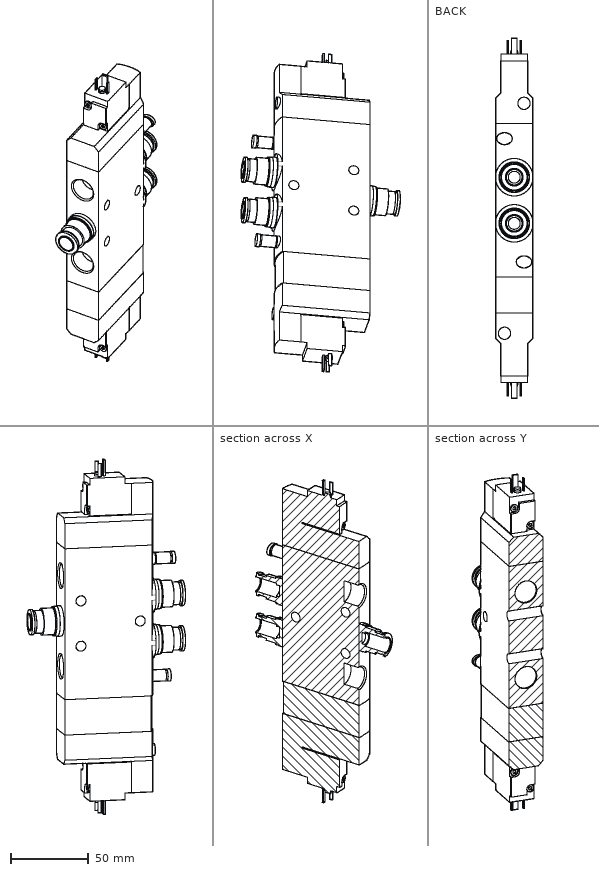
import cadquery as cq
import math


WIDTH = 24.0
DEPTH = 60.8
CROWN_RADIUS = 27.0
BODY_HALF_LENGTH = 81.5
SPACER_BOTTOM_Z = -61.5
SPACER_TOP_Z = -38.1
VALVE_TOP_Z = -SPACER_BOTTOM_Z
SPACER_STEP = 0.7
SHOULDER_CHAMFER = 3.3
NECK_WIDTH = WIDTH - 2 * SHOULDER_CHAMFER

PORT_Z = (VALVE_TOP_Z + SPACER_TOP_Z) / 2
PORT_PITCH = 30.0
PORT_DIAMETER = 15.0
PORT_MOUTH_DIAMETER = 16.8
PORT_DEPTH = 11.7
BOSS_DIAMETER = 24.3
MOUNTING_HOLE_DIAMETER = 6.5
FRONT_HOLE_Y = 10.8
REAR_HOLE_Y = 50.3

NECK_END_Z = 102.3
NECK_FRONT_Y = 45.2
COIL_END_Z = 106.7
COIL_BASE_Z = 82.0
COIL_FRONT_Y = 17.5
SEAM_STEP = 0.12
COIL_WIDTH = NECK_WIDTH - 2 * SEAM_STEP
COIL_STEP_Y = 41.0
COVER_THICKNESS = 2.0
COVER_EDGE_CHAMFER = 0.5
SCREW_DIAMETER = 5.0
SCREW_HEIGHT = 1.0
SCREW_SOCKET_DIAMETER = 2.0
SCREW_X = 5.5
SCREW_FROM_COVER_END = 3.5
SCREW_CLEARANCE_RADIUS = 3.0
OVERRIDE_Z = 74.6

CONTACT_Y = 25.0
CONTACT_X = 4.2
CONTACT_SIZE = (0.7, 2.0)
CONTACT_END_Z = 115.4
BLADE_Y = 28.8
BLADE_SIZE = (3.7, 1.2)
BLADE_END_Z = 117.0
COLLAR_DIAMETER = 5.0
COLLAR_TOP_DIAMETER = 4.2
COLLAR_STEP_HEIGHT = 1.2

DEPTH_WITH_FITTINGS = 103.2
FITTING_LENGTH = (DEPTH_WITH_FITTINGS - DEPTH) / 2
FITTING_STEPS = [
    (20.0, 2.5),
    (19.5, 4.7),
    (19.0, 5.4),
    (17.5, 12.9),
    (15.0, 17.5),
    (14.3, 19.0),
    (16.5, 20.5),
    (11.5, FITTING_LENGTH),
]
FITTING_BORE_DIAMETER = 10.0
FITTING_BORE_DEPTH = 16.4
FITTING_STOP_DIAMETER = 7.7
FITTING_STOP_DEPTH = 18.7

PILOT_DIAMETER = 8.0
PILOT_TUBE_DIAMETER = 7.7
PILOT_BASE_HEIGHT = 0.7
PILOT_HEAD_HEIGHT = 1.0
PILOT_LENGTH = 13.3
PILOT_X = 6.3
PILOT_PITCH = 40.0
RELEASE_RING_WIDTH = 10.0
RELEASE_RING_THICKNESS = 2.0


def box(x_range, y_range, z_range):
    """Box between the given limits along each axis."""
    size = [high - low for low, high in (x_range, y_range, z_range)]
    corner = (x_range[0], y_range[0], z_range[0])
    return cq.Workplane("XY").box(*size, centered=False).translate(corner)


def y_cylinder(diameter, x, z, y_start, y_end):
    """Round bar along Y."""
    face = cq.Workplane("XZ", origin=(x, y_start, z))
    return face.circle(diameter / 2).extrude(y_start - y_end)


def crowned_block(width, front_y, crest_y, z_start, z_end):
    """Block whose rear side is a shallow arc with its crest at crest_y."""
    half = width / 2
    corner_y = crest_y - CROWN_RADIUS + math.sqrt(CROWN_RADIUS**2 - half**2)
    return (
        cq.Workplane("XY", origin=(0, 0, z_start))
        .moveTo(-half, front_y)
        .lineTo(half, front_y)
        .lineTo(half, corner_y)
        .threePointArc((0, crest_y), (-half, corner_y))
        .close()
        .extrude(z_end - z_start)
    )


def make_valve_section():
    section = crowned_block(WIDTH, 0, DEPTH, SPACER_TOP_Z, VALVE_TOP_Z)
    outline = box((-WIDTH / 2, WIDTH / 2), (0, DEPTH), (SPACER_TOP_Z, VALVE_TOP_Z))
    for side in (-1, 1):
        rear_port_z = PORT_Z + side * PORT_PITCH / 2
        boss = y_cylinder(BOSS_DIAMETER, 0, rear_port_z, DEPTH / 2, DEPTH)
        section = section.union(boss.intersect(outline))
        seat = y_cylinder(PILOT_DIAMETER, side * PILOT_X, PORT_Z + side * PILOT_PITCH, DEPTH / 2, DEPTH)
        section = section.union(seat)
        section = section.cut(make_port(PORT_Z + side * PORT_PITCH))

    hole_places = [
        (FRONT_HOLE_Y, PORT_Z - PORT_PITCH / 2),
        (FRONT_HOLE_Y, PORT_Z + PORT_PITCH / 2),
        (REAR_HOLE_Y, PORT_Z),
    ]
    holes = (
        cq.Workplane("YZ", origin=(-WIDTH / 2, 0, 0))
        .pushPoints(hole_places)
        .circle(MOUNTING_HOLE_DIAMETER / 2)
        .extrude(WIDTH)
    )
    return section.cut(holes)


def make_port(z):
    """Blind port with a countersunk mouth, as a solid to cut away."""
    mouth_depth = (PORT_MOUTH_DIAMETER - PORT_DIAMETER) / 2
    return (
        cq.Workplane("XY")
        .lineTo(PORT_MOUTH_DIAMETER / 2, 0)
        .lineTo(PORT_DIAMETER / 2, mouth_depth)
        .lineTo(PORT_DIAMETER / 2, PORT_DEPTH)
        .lineTo(0, PORT_DEPTH)
        .close()
        .revolve(360, (0, 0, 0), (0, 1, 0))
        .translate((0, 0, z))
    )


def make_spacer():
    return crowned_block(WIDTH, 0, DEPTH - SPACER_STEP, SPACER_BOTTOM_Z, SPACER_TOP_Z)


def make_shoulder():
    cap = crowned_block(WIDTH, 0, DEPTH, VALVE_TOP_Z, BODY_HALF_LENGTH)
    shoulder_z = BODY_HALF_LENGTH - SHOULDER_CHAMFER
    envelope = (
        cq.Workplane("XZ")
        .moveTo(-WIDTH / 2, VALVE_TOP_Z)
        .lineTo(WIDTH / 2, VALVE_TOP_Z)
        .lineTo(WIDTH / 2, shoulder_z)
        .lineTo(NECK_WIDTH / 2, BODY_HALF_LENGTH)
        .lineTo(-NECK_WIDTH / 2, BODY_HALF_LENGTH)
        .lineTo(-WIDTH / 2, shoulder_z)
        .close()
        .extrude(-DEPTH)
    )
    override = y_cylinder(PILOT_DIAMETER, -PILOT_X, OVERRIDE_Z, DEPTH / 2, DEPTH)
    return cap.union(override).intersect(envelope)


def make_coil():
    half = COIL_WIDTH / 2
    base = box((-half, half), (COIL_FRONT_Y, NECK_FRONT_Y), (COIL_BASE_Z, NECK_END_Z))
    upper = box((-half, half), (COIL_FRONT_Y, COIL_STEP_Y), (NECK_END_Z, COIL_END_Z))
    return add_screws(base.union(upper).union(make_cover()))


def make_cover():
    """Front cover with chamfered side edges and two opposite corners cleared for the screws."""
    half = COIL_WIDTH / 2
    front_y = COIL_FRONT_Y - COVER_THICKNESS
    cover = box((-half, half), (front_y, COIL_FRONT_Y), (COIL_BASE_Z, NECK_END_Z))
    cover = cover.edges("|Z and <Y").chamfer(COVER_EDGE_CHAMFER)
    for side, x, z in screw_places():
        clearance = y_cylinder(2 * SCREW_CLEARANCE_RADIUS, x, z, front_y, COIL_FRONT_Y)
        outer_x = side * half
        end_z = z - side * SCREW_FROM_COVER_END
        inner_x = x - side * SCREW_CLEARANCE_RADIUS
        inner_z = z + side * SCREW_CLEARANCE_RADIUS
        y_range = (front_y, COIL_FRONT_Y)
        beside = box(sorted((x, outer_x)), y_range, sorted((inner_z, end_z)))
        beyond = box(sorted((inner_x, outer_x)), y_range, sorted((z, end_z)))
        cover = cover.cut(clearance).cut(beside).cut(beyond)
    return cover


def screw_places():
    """Side and centre (x, z) of each cover screw, at opposite corners of the cover."""
    middle_z = (COIL_BASE_Z + NECK_END_Z) / 2
    offset = (NECK_END_Z - COIL_BASE_Z) / 2 - SCREW_FROM_COVER_END
    return [(side, side * SCREW_X, middle_z - side * offset) for side in (-1, 1)]


def add_screws(coil):
    screw_front_y = COIL_FRONT_Y - SCREW_HEIGHT
    for _, x, z in screw_places():
        head = y_cylinder(SCREW_DIAMETER, x, z, screw_front_y, COIL_FRONT_Y)
        socket = y_cylinder(SCREW_SOCKET_DIAMETER, x, z, screw_front_y, COIL_FRONT_Y)
        coil = coil.union(head.cut(socket))
    return coil


def make_contacts():
    face = cq.Workplane("XY", origin=(0, 0, COIL_END_Z))
    pins = (
        face.pushPoints([(-CONTACT_X, CONTACT_Y), (CONTACT_X, CONTACT_Y)])
        .rect(*CONTACT_SIZE)
        .extrude(CONTACT_END_Z - COIL_END_Z)
    )
    blade = face.center(0, BLADE_Y).rect(*BLADE_SIZE).extrude(BLADE_END_Z - COIL_END_Z)
    collar = (
        face.center(0, CONTACT_Y)
        .circle(COLLAR_DIAMETER / 2)
        .extrude(COLLAR_STEP_HEIGHT)
        .faces(">Z")
        .workplane()
        .circle(COLLAR_TOP_DIAMETER / 2)
        .extrude(COLLAR_STEP_HEIGHT)
    )
    return pins.union(blade).union(collar)


def make_end_section():
    neck = crowned_block(NECK_WIDTH, NECK_FRONT_Y, DEPTH, BODY_HALF_LENGTH, NECK_END_Z)
    return make_shoulder().union(neck).union(make_coil()).union(make_contacts())


def make_large_fitting():
    profile = cq.Workplane("XY").lineTo(FITTING_STEPS[0][0] / 2, 0)
    for index, (diameter, end_y) in enumerate(FITTING_STEPS):
        profile = profile.lineTo(diameter / 2, end_y)
        if index + 1 < len(FITTING_STEPS):
            profile = profile.lineTo(FITTING_STEPS[index + 1][0] / 2, end_y)
    body = profile.lineTo(0, FITTING_LENGTH).close().revolve(360, (0, 0, 0), (0, 1, 0))
    bore = y_cylinder(FITTING_BORE_DIAMETER, 0, 0, FITTING_LENGTH - FITTING_BORE_DEPTH, FITTING_LENGTH)
    stop = y_cylinder(FITTING_STOP_DIAMETER, 0, 0, FITTING_LENGTH - FITTING_STOP_DEPTH, FITTING_LENGTH)
    return body.cut(bore).cut(stop)


def make_pilot_fitting():
    ring_seat_y = PILOT_LENGTH - RELEASE_RING_THICKNESS
    tube = y_cylinder(PILOT_TUBE_DIAMETER, 0, 0, 0, PILOT_LENGTH)
    base = y_cylinder(PILOT_DIAMETER, 0, 0, 0, PILOT_BASE_HEIGHT)
    head = y_cylinder(PILOT_DIAMETER, 0, 0, ring_seat_y - PILOT_HEAD_HEIGHT, ring_seat_y)
    ring = (
        cq.Workplane("XZ", origin=(0, PILOT_LENGTH, 0))
        .ellipse(RELEASE_RING_WIDTH / 2, PILOT_DIAMETER / 2)
        .extrude(RELEASE_RING_THICKNESS)
    )
    return tube.union(base).union(head).union(ring)


valve_section = make_valve_section()
spacer = make_spacer()
top_end = make_end_section()
bottom_end = top_end.rotate((0, 0, 0), (0, 1, 0), 180)

large_fitting = make_large_fitting()
supply_fitting = large_fitting.rotate((0, 0, 0), (0, 0, 1), 180).translate((0, 0, PORT_Z))
rear_fittings = []
pilot_fittings = []
for side in (-1, 1):
    rear_fittings.append(large_fitting.translate((0, DEPTH, PORT_Z + side * PORT_PITCH / 2)))
    pilot_place = (side * PILOT_X, DEPTH, PORT_Z + side * PILOT_PITCH)
    pilot_fittings.append(make_pilot_fitting().translate(pilot_place))

bodies = [valve_section, spacer, top_end, bottom_end, supply_fitting, *rear_fittings, *pilot_fittings]
result = cq.Compound.makeCompound([body.val() for body in bodies])